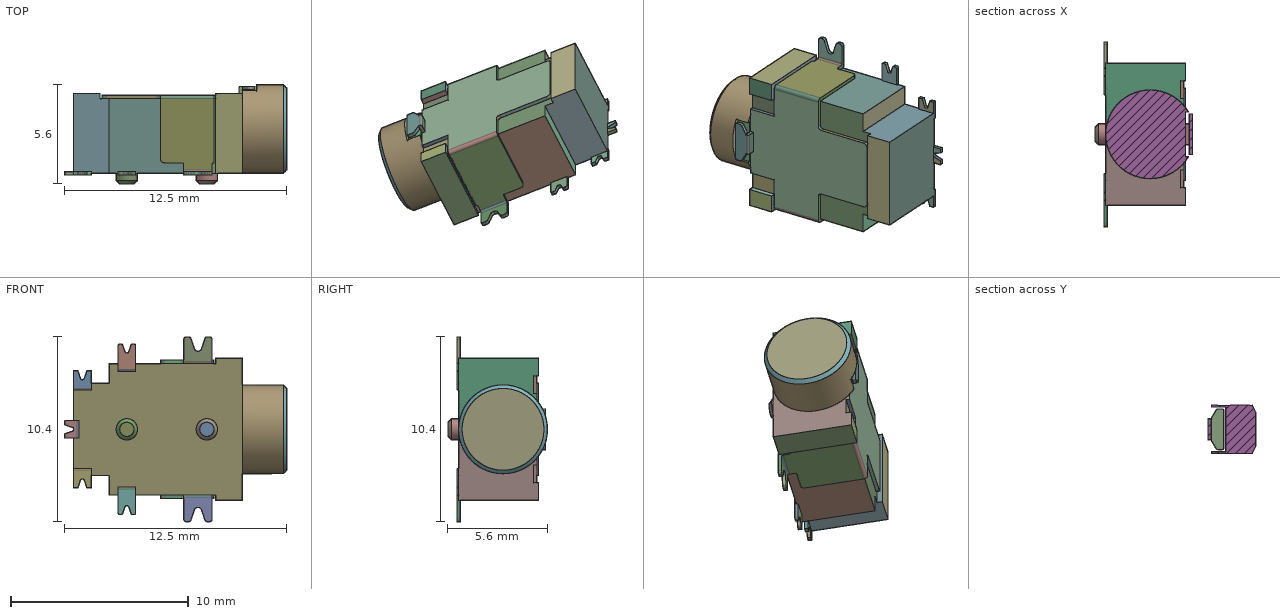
import cadquery as cq


MOUNT_Y = -2.5
REAR_TOP_Y = 2.0
MIDDLE_TOP_Y = 1.7
FLANGE_TOP_Y = 2.0
REAR_HALF_WIDTH = 2.6
MIDDLE_HALF_WIDTH = 3.7
FLANGE_HALF_WIDTH = 4.0
HIGH_REAR_END_X = 1.5
MIDDLE_START_X = 2.0
FLANGE_START_X = 8.0
FLANGE_END_X = 9.5
RECESS_HALF_WIDTH = 3.0

BARREL_RADIUS = 2.5
BARREL_END_X = 12.0
BARREL_CHAMFER = 0.2
BARREL_SLOT_END_X = 10.3
BARREL_SLOT_HALF_WIDTH = 1.25

PEG_XS = (3.0, 7.5)
PEG_RADIUS = 0.6
PEG_LENGTH = 0.6
PEG_CHAMFER = 0.2

SHEET = 0.2
SHIELD_TOP_Y = MIDDLE_TOP_Y + SHEET
SHIELD_HALF_WIDTH = MIDDLE_HALF_WIDTH + SHEET
SIDE_START_X = 4.9
SIDE_END_X = 7.9
SIDE_BOTTOM_Y = -1.9
STRIP_START_X = 1.6
STRIP_HALF_WIDTH = 2.0
STRIP_CORNER_RADIUS = 0.25
SHIELD_CORNER_RADIUS = 0.2
BEND_RADIUS = 0.1

CLIP_STEM_HALF_WIDTH = 0.6
CLIP_ROOT_HALF_WIDTH = 0.65
CLIP_WING_HALF_WIDTH = 1.15
CLIP_TOP_Y = 2.4
CLIP_WING_START_X = 9.8
CLIP_END_X = 10.2
CLIP_SHOULDER_RADIUS = 0.15
CLIP_TIP_RADIUS = 0.1

TERMINAL_STANDOFF = 0.1
TERMINAL_BOTTOM_Y = MOUNT_Y - TERMINAL_STANDOFF
TERMINAL_TOP_Y = TERMINAL_BOTTOM_Y + SHEET
TERMINAL_WIDTH = 1.0
TERMINAL_NOTCH = (0.25, 0.08, 0.5)
TERMINAL_NOTCH_RADIUS = 0.1
TERMINAL_TIP_RADIUS = 0.1
SIDE_TERMINALS = (
    (0.5, 2.2, 3.3, 0),
    (3.0, 3.25, 4.8, TERMINAL_TIP_RADIUS),
)
END_TERMINAL_INNER_X = 0.3
END_TERMINAL_OUTER_X = -0.5
END_TERMINAL_TIP_RADIUS = 0.05

LEG_START_X = 6.2
LEG_END_X = 7.8
NECK_RADIUS = 0.09
LEG_TIP_Z = 5.2
LEG_NOTCH = (0.42, 0.15, 0.8)
LEG_NOTCH_RADIUS = 0.2
LEG_TIP_RADIUS = 0.15


def block(x_range, y_range, z_range):
    """Box spanning the given (low, high) ranges."""
    sizes = [high - low for low, high in (x_range, y_range, z_range)]
    corner = (x_range[0], y_range[0], z_range[0])
    return cq.Workplane("XY").box(*sizes, centered=False).translate(corner)


def centred_block(x_range, y_range, half_width):
    """Box placed symmetrically about Z = 0."""
    return block(x_range, y_range, (-half_width, half_width))


def both_sides(shape):
    """The shape together with its mirror image across Z = 0."""
    return shape.union(shape.mirror("XY"))


def fillet_at(shape, direction, points, radius):
    """Round the edges of one direction that lie nearest to the given points."""
    for point in points:
        edge = shape.edges(direction).edges(cq.NearestToPointSelector(point))
        shape = edge.fillet(radius)
    return shape


def make_housing():
    rear = centred_block((0, HIGH_REAR_END_X), (MOUNT_Y, REAR_TOP_Y), REAR_HALF_WIDTH)
    neck = centred_block((0, MIDDLE_START_X), (MOUNT_Y, MIDDLE_TOP_Y), REAR_HALF_WIDTH)
    middle = centred_block((MIDDLE_START_X, FLANGE_END_X), (MOUNT_Y, MIDDLE_TOP_Y), MIDDLE_HALF_WIDTH)
    flange = centred_block((FLANGE_START_X, FLANGE_END_X), (MOUNT_Y, FLANGE_TOP_Y), FLANGE_HALF_WIDTH)
    recess = centred_block((FLANGE_START_X, FLANGE_END_X), (MIDDLE_TOP_Y, FLANGE_TOP_Y), RECESS_HALF_WIDTH)
    return rear.union(neck).union(middle).union(flange.cut(recess))


def make_barrel():
    barrel = (
        cq.Workplane("YZ", origin=(FLANGE_END_X, 0, 0))
        .circle(BARREL_RADIUS)
        .extrude(BARREL_END_X - FLANGE_END_X)
        .faces(">X")
        .chamfer(BARREL_CHAMFER)
    )
    slot = centred_block(
        (FLANGE_END_X, BARREL_SLOT_END_X), (FLANGE_TOP_Y, BARREL_RADIUS), BARREL_SLOT_HALF_WIDTH
    )
    return barrel.cut(slot)


def make_peg(x):
    return (
        cq.Workplane("XZ", origin=(x, MOUNT_Y, 0))
        .circle(PEG_RADIUS)
        .extrude(PEG_LENGTH)
        .faces("<Y")
        .chamfer(PEG_CHAMFER)
    )


def make_notched_tab(width, length, notch, notch_radius, tip_radius):
    """Flat tab from Z = 0 to its forked tip at Z = length, centred on X = 0, with a bent inner end."""
    mouth, root, depth = notch
    tab = block((-width / 2, width / 2), (TERMINAL_BOTTOM_Y, TERMINAL_TOP_Y), (0, length))
    tab = tab.edges("<Y and <Z").fillet(BEND_RADIUS)
    notch_outline = [(-mouth, length), (-root, length - depth), (root, length - depth), (mouth, length)]
    cutter = (
        cq.Workplane("XZ", origin=(0, TERMINAL_TOP_Y, 0))
        .polyline(notch_outline)
        .close()
        .extrude(SHEET)
        .edges("|Y and <Z")
        .fillet(notch_radius)
    )
    tab = tab.cut(cutter)
    if tip_radius:
        tab = tab.faces(">Z").edges("|Y").fillet(tip_radius)
    return tab


def make_terminals():
    terminals = cq.Workplane("XY")
    for x, inner_z, outer_z, tip_radius in SIDE_TERMINALS:
        tab = make_notched_tab(
            TERMINAL_WIDTH, outer_z - inner_z, TERMINAL_NOTCH, TERMINAL_NOTCH_RADIUS, tip_radius
        )
        terminals = terminals.union(both_sides(tab.translate((x, 0, inner_z))))
    end_tab = make_notched_tab(
        TERMINAL_WIDTH,
        END_TERMINAL_INNER_X - END_TERMINAL_OUTER_X,
        TERMINAL_NOTCH,
        TERMINAL_NOTCH_RADIUS,
        END_TERMINAL_TIP_RADIUS,
    )
    end_tab = end_tab.rotate((0, 0, 0), (0, 1, 0), -90).translate((END_TERMINAL_INNER_X, 0, 0))
    return terminals.union(end_tab)


def make_shield_top():
    """Lengthwise strip and the crosswise bridge that joins the two side panels."""
    thickness = (MIDDLE_TOP_Y, SHIELD_TOP_Y)
    strip = centred_block((STRIP_START_X, FLANGE_END_X), thickness, STRIP_HALF_WIDTH)
    strip = strip.faces("<X").edges("|Y").fillet(STRIP_CORNER_RADIUS)
    bridge = centred_block((SIDE_START_X, SIDE_END_X), thickness, SHIELD_HALF_WIDTH)
    inner_corners = [(SIDE_START_X, SHIELD_TOP_Y, side * STRIP_HALF_WIDTH) for side in (-1, 1)]
    return fillet_at(strip.union(bridge), "|Y", inner_corners, SHIELD_CORNER_RADIUS)


def make_shield_side():
    """Side panel on +Z with the solder leg bent outward from its lower edge."""
    z_range = (MIDDLE_HALF_WIDTH, SHIELD_HALF_WIDTH)
    panel = block((SIDE_START_X, SIDE_END_X), (SIDE_BOTTOM_Y, MIDDLE_TOP_Y), z_range)
    panel = panel.edges("|Z and <X and <Y").fillet(SHIELD_CORNER_RADIUS)
    drop = block((LEG_START_X, LEG_END_X), (TERMINAL_TOP_Y, SIDE_BOTTOM_Y), z_range)
    neck_corners = [(x, SIDE_BOTTOM_Y, MIDDLE_HALF_WIDTH) for x in (LEG_START_X, LEG_END_X)]
    side = fillet_at(panel.union(drop), "|Z", neck_corners, NECK_RADIUS)

    width = LEG_END_X - LEG_START_X
    length = LEG_TIP_Z - MIDDLE_HALF_WIDTH
    middle_x = (LEG_START_X + LEG_END_X) / 2
    leg = make_notched_tab(width, length, LEG_NOTCH, LEG_NOTCH_RADIUS, LEG_TIP_RADIUS)
    leg = leg.translate((middle_x, 0, MIDDLE_HALF_WIDTH))
    bend = [(middle_x, TERMINAL_TOP_Y, SHIELD_HALF_WIDTH)]
    return fillet_at(side.union(leg), "|X", bend, BEND_RADIUS)


def make_shield():
    shield = make_shield_top().union(both_sides(make_shield_side()))
    middle_x = (SIDE_START_X + SIDE_END_X) / 2
    top_bends = [(middle_x, SHIELD_TOP_Y, side * SHIELD_HALF_WIDTH) for side in (-1, 1)]
    return fillet_at(shield, "|X", top_bends, SHIELD_CORNER_RADIUS)


def make_clip():
    """Upturned stem at the front of the shield strip, ending in a winged plate over the barrel."""
    stem_start_x = FLANGE_END_X - SHEET
    stem = centred_block((stem_start_x, FLANGE_END_X), (MIDDLE_TOP_Y, CLIP_TOP_Y), CLIP_STEM_HALF_WIDTH)
    stem = stem.edges("<X and >Y").fillet(BEND_RADIUS)
    upper_half = [
        (FLANGE_END_X, CLIP_ROOT_HALF_WIDTH),
        (CLIP_WING_START_X, CLIP_WING_HALF_WIDTH),
        (CLIP_END_X, CLIP_WING_HALF_WIDTH),
    ]
    lower_half = [(x, -z) for x, z in reversed(upper_half)]
    wings = (
        cq.Workplane("XZ", origin=(0, CLIP_TOP_Y, 0))
        .polyline(upper_half + lower_half)
        .close()
        .extrude(SHEET)
    )
    wings = wings.faces(">X").edges("|Y").fillet(CLIP_TIP_RADIUS)
    shoulders = [(CLIP_WING_START_X, CLIP_TOP_Y, side * CLIP_WING_HALF_WIDTH) for side in (-1, 1)]
    wings = fillet_at(wings, "|Y", shoulders, CLIP_SHOULDER_RADIUS)
    return stem.union(wings)


result = make_housing().union(make_barrel())
for peg_x in PEG_XS:
    result = result.union(make_peg(peg_x))
result = result.union(make_shield()).union(make_clip()).union(make_terminals())